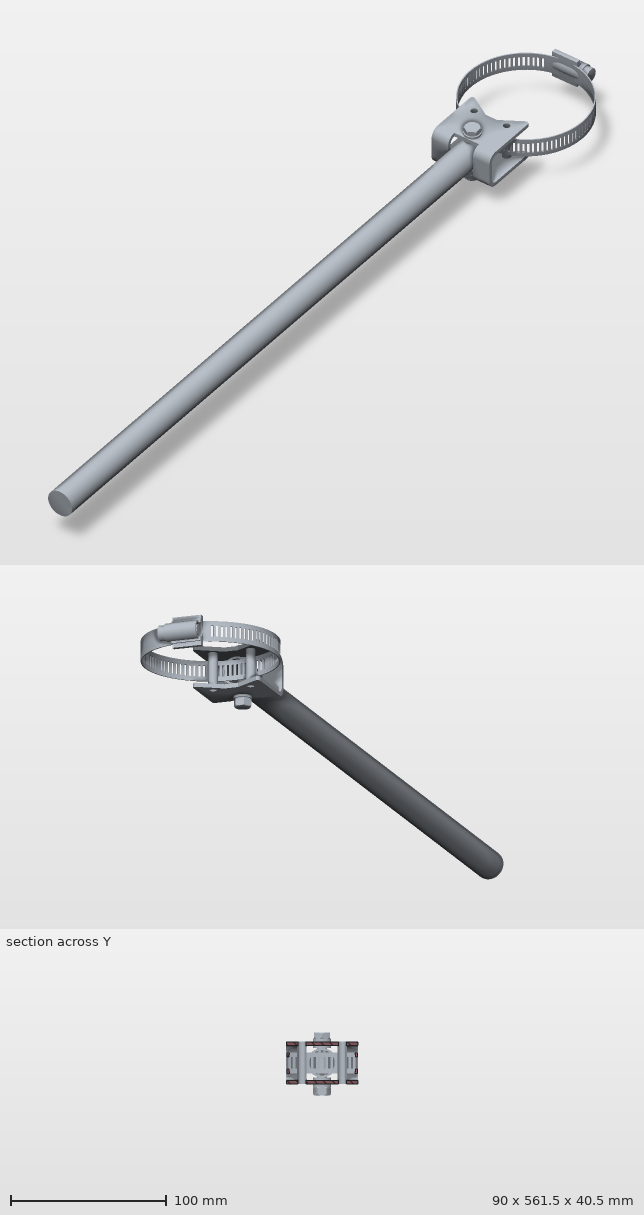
import cadquery as cq


ring_outer_radius = 45.0
band_thickness = 0.85
band_width = 13.5
ring_inner_radius = ring_outer_radius - band_thickness
slot_pitch_angle = 4.0
slot_width = 1.4
slot_height = 7.5
slot_cut_depth = 3 * band_thickness
slots_start_angle = 112.0
slots_end_angle = 384.0

clamp_top_y = 54.5
barrel_diameter = 12.0
housing_left_x = -11.0
housing_right_x = 8.5
barrel_right_x = 12.0
saddle_bottom_y = 44.0
saddle_height = 4.5
saddle_width = 14.5
flange_height = 3.5
flange_width = 20.0
barrel_end_setback = 1.0
barrel_recess_diameter = 9.5
barrel_recess_depth = 1.5
screw_diameter = 7.0
screw_head_diameter = 10.0
screw_end_x = 16.0

bracket_width = 46.0
bracket_height = 27.5
plate_thickness = 3.0
bend_radius = 7.0
bracket_front_y = -71.5
mouth_tip_y = -27.5
mouth_tip_x = 21.0
mouth_floor_y = -37.5
mouth_floor_x = 4.5
tip_corner_radius = 2.0
rod_opening_width = 19.5
bracket_inner_height = bracket_height - 2 * plate_thickness

tube_x = 13.0
tube_y = -39.0
tube_outer_diameter = 6.0
tube_hole_diameter = 4.75

bolt_y = -58.5
bolt_diameter = 6.0
hex_corner_diameter = 12.0
hex_chamfer_diameter = 10.0
head_turn_angle = 30.0
nut_turn_angle = 0.0
head_stack_height = 5.5
nut_stack_height = 7.5
washer_diameter = 12.0
washer_thickness = 1.5

overall_length = 561.5
rod_diameter = 19.0
rod_bore_diameter = 16.0
rod_back_y = -46.0
end_cap_length = 4.0
rod_front_y = clamp_top_y - overall_length


def box_between(x_range, y_range, z_range):
    """Axis-aligned box given by its limits along X, Y and Z."""
    size = [high - low for low, high in (x_range, y_range, z_range)]
    return cq.Workplane("XY").box(*size, centered=False).translate((x_range[0], y_range[0], z_range[0]))


def cylinder_z(x, y, diameter, z_low, z_high):
    """Upright cylinder between two heights."""
    return cq.Workplane("XY", origin=(x, y, z_low)).circle(diameter / 2).extrude(z_high - z_low)


def cylinder_x(y, diameter, x_low, x_high):
    """Cylinder along X between two places, at mid height."""
    return cq.Workplane("YZ", origin=(x_low, y, 0)).circle(diameter / 2).extrude(x_high - x_low)


def cylinder_y(diameter, y_low, y_high):
    """Cylinder on the rod axis between two places along Y."""
    return cq.Workplane("XZ", origin=(0, y_high, 0)).circle(diameter / 2).extrude(y_high - y_low)


def make_band():
    """Ring of flat strip with a row of worm slots, plain beside the housing."""
    band = (
        cq.Workplane("XY", origin=(0, 0, -band_width / 2))
        .circle(ring_outer_radius)
        .circle(ring_inner_radius)
        .extrude(band_width)
    )
    slot_count = int((slots_end_angle - slots_start_angle) / slot_pitch_angle) + 1
    slots = (
        cq.Workplane("XY", origin=(0, 0, -slot_height / 2))
        .polarArray(
            (ring_outer_radius + ring_inner_radius) / 2,
            slots_start_angle,
            slots_end_angle - slots_start_angle,
            slot_count,
        )
        .rect(slot_cut_depth, slot_width)
        .extrude(slot_height)
    )
    return band.cut(slots)


def make_worm_housing():
    """Barrel on a stepped saddle, with the screw tip in its -X end and the screw head at its +X end."""
    barrel_y = clamp_top_y - barrel_diameter / 2
    x_range = (housing_left_x, housing_right_x)
    saddle = box_between(
        x_range, (saddle_bottom_y, saddle_bottom_y + saddle_height), (-saddle_width / 2, saddle_width / 2)
    )
    flange = box_between(
        x_range, (saddle_bottom_y, saddle_bottom_y + flange_height), (-flange_width / 2, flange_width / 2)
    )
    barrel_left_x = housing_left_x + barrel_end_setback
    recess_floor_x = barrel_left_x + barrel_recess_depth
    barrel = cylinder_x(barrel_y, barrel_diameter, barrel_left_x, barrel_right_x)
    recess = cylinder_x(barrel_y, barrel_recess_diameter, housing_left_x, recess_floor_x)
    screw_tip = cylinder_x(barrel_y, screw_diameter, barrel_left_x, recess_floor_x)
    head = cylinder_x(barrel_y, screw_head_diameter, barrel_right_x, screw_end_x)
    return saddle.union(flange).union(barrel).cut(recess).union(screw_tip).union(head)


def make_clamp():
    """Band and worm housing as one body."""
    return make_band().union(make_worm_housing())


def make_folded_plate():
    """U-shaped plate, open toward +Y, with the mouth cut in both legs."""
    length = mouth_tip_y - bracket_front_y
    middle_y = (mouth_tip_y + bracket_front_y) / 2
    plate = (
        cq.Workplane("XY")
        .box(bracket_width, length, bracket_height)
        .translate((0, middle_y, 0))
        .edges("|X and <Y")
        .fillet(bend_radius)
    )
    channel = (
        cq.Workplane("XY")
        .box(bracket_width, length, bracket_inner_height)
        .translate((0, middle_y + plate_thickness, 0))
        .edges("|X and <Y")
        .fillet(bend_radius - plate_thickness)
    )
    mouth = (
        cq.Workplane("XY")
        .polyline(
            [
                (-mouth_tip_x, mouth_tip_y),
                (-mouth_floor_x, mouth_floor_y),
                (mouth_floor_x, mouth_floor_y),
                (mouth_tip_x, mouth_tip_y),
            ]
        )
        .close()
        .extrude(bracket_height, both=True)
    )
    opening = box_between(
        (-rod_opening_width / 2, rod_opening_width / 2),
        (bracket_front_y, bracket_front_y + bend_radius),
        (-bracket_height / 2, bracket_height / 2),
    )
    return plate.edges("|Z and >Y").fillet(tip_corner_radius).cut(channel).cut(mouth).cut(opening)


def add_holding_tubes(bracket):
    """Tubes from plate to plate, open through both plates."""
    half_height = bracket_height / 2
    for x in (-tube_x, tube_x):
        tube = cylinder_z(x, tube_y, tube_outer_diameter, -bracket_inner_height / 2, bracket_inner_height / 2)
        hole = cylinder_z(x, tube_y, tube_hole_diameter, -half_height, half_height)
        bracket = bracket.union(tube).cut(hole)
    return bracket


def make_hexagon(turn, z_low, z_high):
    """Hexagonal prism on the bolt axis, turned about Z, with its corners chamfered at both ends."""
    height = z_high - z_low
    prism = cq.Workplane("XY").polygon(6, hex_corner_diameter).extrude(height)
    corner_cut = (hex_corner_diameter - hex_chamfer_diameter) / 2
    blank = cq.Workplane("XY").circle(hex_corner_diameter / 2).extrude(height).faces("<Z or >Z")
    prism = prism.intersect(blank.chamfer(corner_cut))
    return prism.rotate((0, 0, 0), (0, 0, 1), turn).translate((0, bolt_y, z_low))


def make_bolt():
    """Shank, head and nut, with washers on both sides of both plates."""
    outer_face = bracket_height / 2
    inner_face = bracket_inner_height / 2
    washer_face = outer_face + washer_thickness
    bolt = cylinder_z(0, bolt_y, bolt_diameter, -outer_face, outer_face)
    bolt = bolt.union(make_hexagon(head_turn_angle, washer_face, outer_face + head_stack_height))
    bolt = bolt.union(make_hexagon(nut_turn_angle, -outer_face - nut_stack_height, -washer_face))
    washer_levels = (
        (outer_face, washer_face),
        (rod_diameter / 2, inner_face),
        (-inner_face, -rod_diameter / 2),
        (-washer_face, -outer_face),
    )
    for z_low, z_high in washer_levels:
        bolt = bolt.union(cylinder_z(0, bolt_y, washer_diameter, z_low, z_high))
    return bolt


def make_bracket():
    """Folded plate with its holding tubes and the bolt that carries the rod."""
    return add_holding_tubes(make_folded_plate()).union(make_bolt())


def make_rod():
    """Tube with a closed front end and a cross hole for the bolt."""
    cap_back_y = rod_front_y + end_cap_length
    rod = cylinder_y(rod_diameter, cap_back_y, rod_back_y)
    bore = cylinder_y(rod_bore_diameter, cap_back_y, rod_back_y)
    cap = cylinder_y(rod_diameter, rod_front_y, cap_back_y)
    cross_hole = cylinder_z(0, bolt_y, bolt_diameter, -rod_diameter, rod_diameter)
    return rod.cut(bore).union(cap, clean=False).cut(cross_hole, clean=False)


clamp = make_clamp()
bracket = make_bracket()
rod = make_rod()
result = cq.Compound.makeCompound([body.solids().val() for body in (clamp, bracket, rod)])